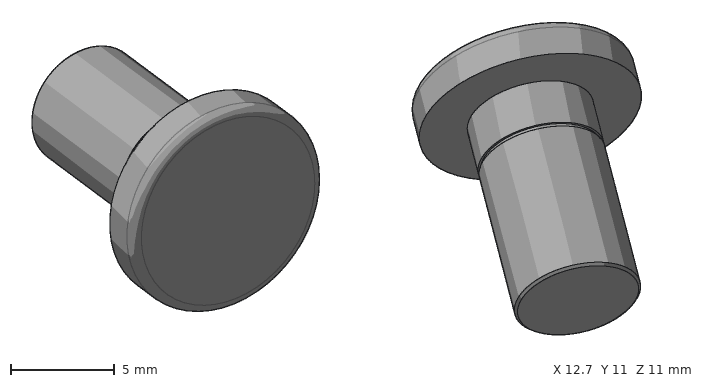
import cadquery as cq

total_length = 12.7
head_diameter = 11.0
head_thickness = 2.03
head_edge_radius = 0.51

shank_diameter = 6.25
shank_tip_chamfer = 0.13

groove_width = 0.22
groove_depth = 0.11
groove_to_head = 2.41

shank_length = total_length - head_thickness
tip_x = -total_length / 2
head_x = tip_x + shank_length
groove_x = head_x - groove_to_head - groove_width


def disc(start_x, diameter, length):
    """Solid cylinder on the X axis, running toward +X from start_x."""
    return cq.Workplane("YZ", origin=(start_x, 0, 0)).circle(diameter / 2).extrude(length)


shank = disc(tip_x, shank_diameter, shank_length).faces("<X").chamfer(shank_tip_chamfer)

groove_floor_diameter = shank_diameter - 2 * groove_depth
groove = disc(groove_x, shank_diameter, groove_width).cut(
    disc(groove_x, groove_floor_diameter, groove_width)
)

head = disc(head_x, head_diameter, head_thickness).faces(">X").edges().fillet(head_edge_radius)

result = shank.cut(groove).union(head)